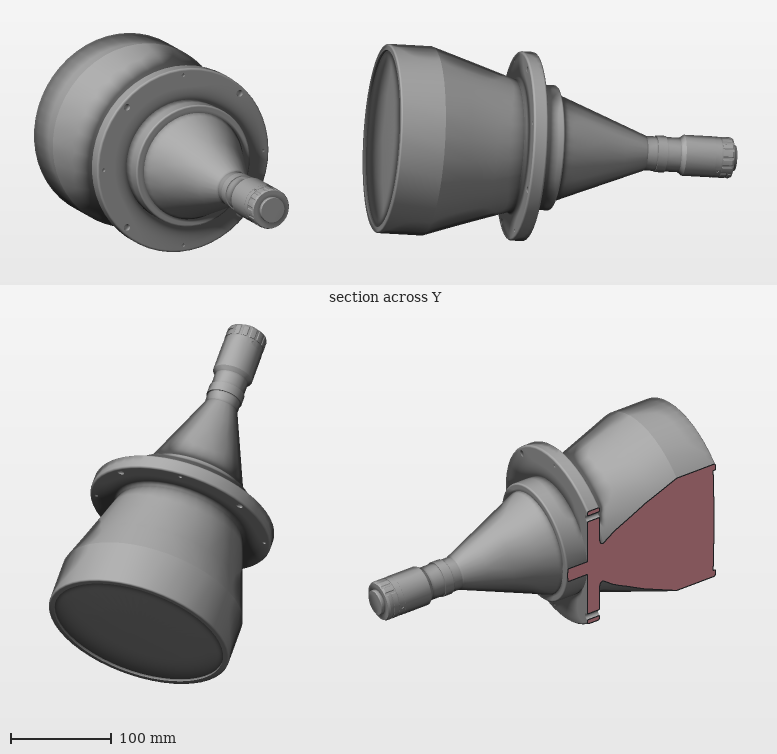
import cadquery as cq
import math

total_length = 357.5

barrel_radius = 94.0
barrel_end = 45.0
barrel_round = 1.8
lens_radius = 88.0
lens_rim_depth = 2.5
lens_apex_depth = 0.5

root_start = 130.5
root_radius = 66.0
root_fillet = 3.0
flange_start = 134.5
flange_end = 149.0
flange_radius = barrel_radius
flange_round = 2.0
bolt_circle_radius = 87.2
bolt_hole_diameter = 6.8
pin_hole_diameter = 3.5
holes_per_set = 4

boss_end = 172.7
boss_radius = 62.2
boss_round = 1.8
rear_cone_radius = 54.5
rear_cone_end = 265.0
rear_cone_end_radius = 18.0
neck_start = 266.5

neck_radius = 17.0
neck_end = 300.5
ring_start = 276.8
ring_end = 286.0
ring_radius = 18.2
ring_gap_width = 1.0
ring_gap_depth = 0.5

camera_start = 304.5
camera_radius = 20.5
collar_start = 334.7
collar_step = 0.18
grip_gap_start = 340.8
grip_start = 342.0
grip_end = 353.5
grip_gap_depth = 0.7
grip_bevel_length = 2.0
grip_bevel_height = 1.0
tip_radius = 13.0
tip_bevel_length = 1.0
tip_bevel_height = 0.5

flute_pitch = 24.0
flute_count = 9
first_flute_angle = -66.0
flute_top_width = 4.0
flute_floor_width = 2.0
flute_depth = 0.7
plain_groove_center = 348.0
plain_groove_width = 1.8
plain_groove_depth = 0.7

screw_position = 338.0
screw_diameter = 3.0
screw_hole_depth = 1.0
screw_angles = (-60, 60, 180)


def turned_body():
    """Solid of revolution, drawn as radius over X."""
    groove_floor = camera_radius - grip_gap_depth
    profile = (
        cq.Workplane("XY")
        .moveTo(lens_apex_depth, 0)
        .threePointArc(lens_dome_midpoint(), (lens_rim_depth, lens_radius))
        .lineTo(0, lens_radius)
        .lineTo(0, barrel_radius - barrel_round)
        .radiusArc((barrel_round, barrel_radius), barrel_round)
        .lineTo(barrel_end, barrel_radius)
        .lineTo(root_start, root_radius)
        .lineTo(flange_start - root_fillet, root_radius)
        .radiusArc((flange_start, root_radius + root_fillet), -root_fillet)
        .lineTo(flange_start, flange_radius - flange_round)
        .radiusArc((flange_start + flange_round, flange_radius), flange_round)
        .lineTo(flange_end - flange_round, flange_radius)
        .radiusArc((flange_end, flange_radius - flange_round), flange_round)
        .lineTo(flange_end, boss_radius)
        .lineTo(boss_end - boss_round, boss_radius)
        .radiusArc((boss_end, boss_radius - boss_round), boss_round)
        .lineTo(boss_end, rear_cone_radius)
        .lineTo(rear_cone_end, rear_cone_end_radius)
        .lineTo(neck_start, neck_radius)
        .lineTo(ring_start - ring_gap_width, neck_radius)
        .lineTo(ring_start - ring_gap_width, neck_radius - ring_gap_depth)
        .lineTo(ring_start, neck_radius - ring_gap_depth)
        .lineTo(ring_start, ring_radius)
        .lineTo(ring_end, ring_radius)
        .lineTo(ring_end, neck_radius)
        .lineTo(neck_end, neck_radius)
        .lineTo(camera_start, camera_radius)
        .lineTo(collar_start, camera_radius)
        .lineTo(collar_start, camera_radius - collar_step)
        .lineTo(grip_gap_start, camera_radius - collar_step)
        .lineTo(grip_gap_start, groove_floor)
        .lineTo(grip_start, groove_floor)
        .lineTo(grip_start, camera_radius)
        .lineTo(grip_end - grip_bevel_length, camera_radius)
        .lineTo(grip_end, camera_radius - grip_bevel_height)
        .lineTo(grip_end, tip_radius)
        .lineTo(total_length - tip_bevel_length, tip_radius)
        .lineTo(total_length, tip_radius - tip_bevel_height)
        .lineTo(total_length, 0)
        .close()
    )
    return profile.revolve(360, (0, 0, 0), (1, 0, 0))


def lens_dome_midpoint():
    """Point halfway out along the spherical lens face."""
    rise = lens_rim_depth - lens_apex_depth
    sphere_radius = (lens_radius**2 + rise**2) / (2 * rise)
    half_radius = lens_radius / 2
    sag = sphere_radius - math.sqrt(sphere_radius**2 - half_radius**2)
    return (lens_apex_depth + sag, half_radius)


def turn_about_axis(shape, angle):
    """Move a shape built on the -Y side to an angle measured towards +Z."""
    return shape.rotate((0, 0, 0), (1, 0, 0), -angle)


def flange_holes(diameter, first_angle):
    """Ring of evenly spaced holes through the flange."""
    return (
        cq.Workplane("YZ", origin=(flange_start, 0, 0))
        .polarArray(bolt_circle_radius, first_angle, 360, holes_per_set)
        .circle(diameter / 2)
        .extrude(flange_end - flange_start)
    )


def grip_flutes():
    """Tapered grooves along the grip ring, open at its rear end."""
    floor_y = -(camera_radius - flute_depth)
    top_y = floor_y - 2 * flute_depth
    half_floor = flute_floor_width / 2
    half_top = flute_top_width - half_floor
    flute = (
        cq.Workplane("YZ", origin=(grip_start, 0, 0))
        .moveTo(floor_y, -half_floor)
        .lineTo(floor_y, half_floor)
        .lineTo(top_y, half_top)
        .lineTo(top_y, -half_top)
        .close()
        .extrude(grip_end - grip_start)
    )
    flutes = cq.Workplane("XY")
    for index in range(flute_count):
        flutes = flutes.add(turn_about_axis(flute, first_flute_angle + index * flute_pitch))
    return flutes.combine()


def plain_sector_groove():
    """Groove around the part of the grip ring that has no flutes."""
    plain_angle = 360 - (flute_count - 1) * flute_pitch
    groove = (
        cq.Workplane("XY")
        .moveTo(plain_groove_center, -camera_radius)
        .rect(plain_groove_width, 2 * plain_groove_depth)
        .revolve(plain_angle, (0, 0, 0), (1, 0, 0))
    )
    return turn_about_axis(groove, first_flute_angle)


def screw_holes():
    """Shallow radial holes in the collar ahead of the grip ring."""
    hole = (
        cq.Workplane("XZ", origin=(screw_position, -(camera_radius - screw_hole_depth), 0))
        .circle(screw_diameter / 2)
        .extrude(2 * screw_hole_depth)
    )
    holes = cq.Workplane("XY")
    for angle in screw_angles:
        holes = holes.add(turn_about_axis(hole, angle))
    return holes.combine()


result = turned_body()
result = result.cut(flange_holes(bolt_hole_diameter, 45))
result = result.cut(flange_holes(pin_hole_diameter, 0))
result = result.cut(grip_flutes())
result = result.cut(screw_holes())
result = result.cut(plain_sector_groove())